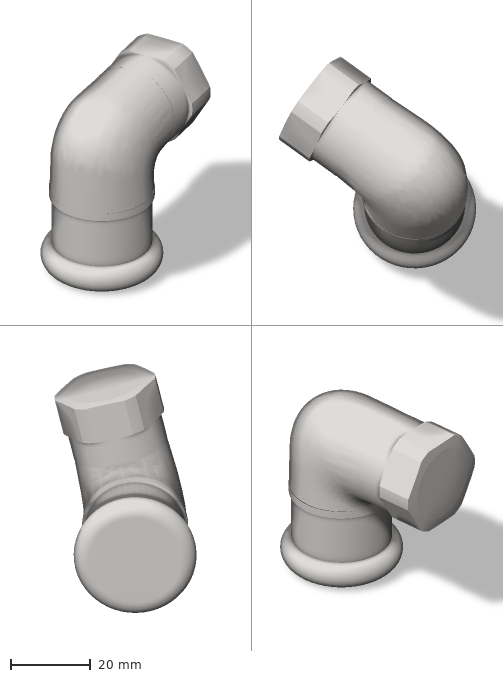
import cadquery as cq
import math


bead_diameter = 30.8
bead_height = 7.42
bead_radius = bead_height / 2
tube_diameter = 25.3
rim_diameter = 26.6
rim_bottom = 21.0
rim_top = 23.1

outlet_height = 37.0
collar_diameter = 24.0
collar_start = 16.0
hex_start = 23.1
hex_end = 33.0
hex_sides = 6
hex_flats = collar_diameter
hex_corner_diameter = 26.0
end_face_diameter = 19.6
end_chamfer_depth = 0.28
inner_face_diameter = collar_diameter
inner_chamfer_depth = 0.2

outer_bend_radius = 14.4
pivot_z = rim_top
pivot_y = collar_start
inner_bend_across = pivot_y - rim_diameter / 2
inner_bend_up = outlet_height - collar_diameter / 2 - pivot_z
bend_width_at_rim = 26.2
bend_width_at_collar = 23.8
section_count = 19


def revolve_on_plane_y(profile):
    """Close a half profile and turn it about the local Y axis of its plane."""
    return profile.close().revolve(360, (0, 0, 0), (0, 1, 0))


def make_socket():
    """Bead, tube and rim as one turned body."""
    bead_center = bead_diameter / 2 - bead_radius
    tube_radius = tube_diameter / 2
    neck_fillet = (rim_diameter - tube_diameter) / 2
    tube_offset = tube_radius - bead_center
    tube_start = bead_radius + math.sqrt(bead_radius**2 - tube_offset**2)
    profile = (
        cq.Workplane("XZ")
        .lineTo(bead_center, 0)
        .threePointArc((bead_diameter / 2, bead_radius), (tube_radius, tube_start))
        .lineTo(tube_radius, rim_bottom - neck_fillet)
        .radiusArc((rim_diameter / 2, rim_bottom), neck_fillet)
        .lineTo(rim_diameter / 2, rim_top)
        .lineTo(0, rim_top)
    )
    return revolve_on_plane_y(profile)


def outer_reach(angle):
    """Distance from the pivot to the rounded outer outline of the bend."""
    across = math.cos(angle)
    up = math.sin(angle)
    arc_across = pivot_y + rim_diameter / 2 - outer_bend_radius
    arc_up = outlet_height + collar_diameter / 2 - pivot_z - outer_bend_radius
    if up * (arc_across + outer_bend_radius) < across * arc_up:
        return (arc_across + outer_bend_radius) / across
    if across * (arc_up + outer_bend_radius) < up * arc_across:
        return (arc_up + outer_bend_radius) / up
    along = arc_across * across + arc_up * up
    return along + math.sqrt(along**2 - arc_across**2 - arc_up**2 + outer_bend_radius**2)


def inner_reach(angle):
    """Distance from the pivot to the elliptical inner outline of the bend."""
    return 1 / math.hypot(math.cos(angle) / inner_bend_across, math.sin(angle) / inner_bend_up)


def bend_section(angle):
    """Ellipse on the plane that leaves the pivot at the given angle above -Y."""
    outer = outer_reach(angle)
    inner = inner_reach(angle)
    turn = angle / (math.pi / 2)
    width = bend_width_at_rim + (bend_width_at_collar - bend_width_at_rim) * turn
    outward = cq.Vector(0, -math.cos(angle), math.sin(angle))
    normal = cq.Vector(0, math.sin(angle), math.cos(angle))
    center = cq.Vector(0, pivot_y, pivot_z) + outward * ((outer + inner) / 2)
    ellipse = cq.Edge.makeEllipse((outer - inner) / 2, width / 2, center, normal, -outward)
    return cq.Wire.assembleEdges([ellipse])


def make_bend():
    """Loft through the sections from the rim to the collar."""
    step = math.pi / 2 / (section_count - 1)
    sections = [bend_section(i * step) for i in range(section_count)]
    return cq.Workplane(cq.Solid.makeLoft(sections))


def outlet_plane(y):
    """Plane across the outlet axis; negative extrusion runs toward +Y."""
    return cq.Workplane("XZ", origin=(0, y, outlet_height))


def make_collar():
    """Round collar between the bend and the hexagon."""
    return outlet_plane(collar_start).circle(collar_diameter / 2).extrude(collar_start - hex_start)


def make_hexagon():
    """Hexagon with turned-down corners and chamfered ends."""
    corner_to_corner = hex_flats / math.cos(math.pi / hex_sides)
    prism = outlet_plane(hex_start).polygon(hex_sides, corner_to_corner).extrude(hex_start - hex_end)
    corner_radius = hex_corner_diameter / 2
    envelope = (
        cq.Workplane("XY", origin=(0, 0, outlet_height))
        .moveTo(0, hex_start)
        .lineTo(inner_face_diameter / 2, hex_start)
        .lineTo(corner_radius, hex_start + inner_chamfer_depth)
        .lineTo(corner_radius, hex_end - end_chamfer_depth)
        .lineTo(end_face_diameter / 2, hex_end)
        .lineTo(0, hex_end)
    )
    return prism.intersect(revolve_on_plane_y(envelope))


result = make_socket().union(make_bend()).union(make_collar()).union(make_hexagon())